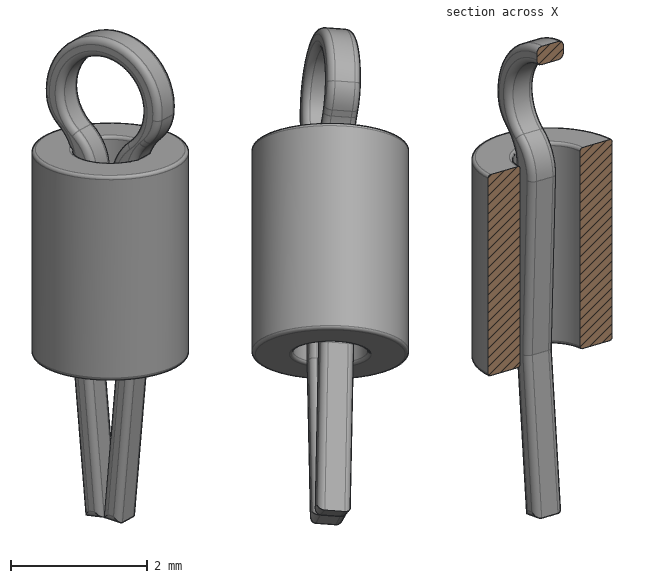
import cadquery as cq
import math

sleeve_radius = 1.15
sleeve_height = 3.2
bore_radius = 0.55
sleeve_rounding = 0.05

overall_height = 7.53
wire_thickness = 0.3
wire_width = 0.5
wire_rounding = 0.1

eye_outer_radius = 1.0
eye_inner_radius = eye_outer_radius - wire_thickness
eye_top = 5.0
eye_center = eye_top - eye_outer_radius
outer_arc_end_angle = 6.0
inner_arc_end_angle = 51.0
shoulder_radius = 0.645
neck_angle = 45.0
neck_length = 0.1

leg_outer_x = 0.535
leg_inner_x = leg_outer_x - wire_thickness
neck_inner_x = 0.13
leg_lean = 5.15
tip_bottom = eye_top - overall_height


def polar(center, radius, degrees_below):
    """Point on the right side of a circle, at an angle measured downward from +X."""
    angle = math.radians(degrees_below)
    return (center[0] + radius * math.cos(angle), center[1] - radius * math.sin(angle))


def make_sleeve():
    body = cq.Workplane("XY").circle(sleeve_radius).circle(bore_radius).extrude(sleeve_height)
    return body.faces("<Z or >Z").edges().fillet(sleeve_rounding)


def bend_into_vertical(start, start_angle, vertical_x):
    """Middle and end of an arc that turns from a slope into the line x = vertical_x."""
    slope = math.radians(start_angle)
    radius = (start[0] - vertical_x) / (1 - math.cos(slope))
    center = (vertical_x + radius, start[1] - radius * math.sin(slope))
    middle = (center[0] - radius * math.cos(slope / 2), center[1] + radius * math.sin(slope / 2))
    return middle, (vertical_x, center[1])


def make_pin():
    """Bent wire: the right half of its outline is drawn, then mirrored about X = 0."""
    eye = (0, eye_center)
    lean = math.radians(leg_lean)

    shoulder_start = polar(eye, eye_outer_radius, outer_arc_end_angle)
    shoulder_center = polar(eye, eye_outer_radius - shoulder_radius, outer_arc_end_angle)
    shoulder_middle = polar(
        shoulder_center, shoulder_radius, (outer_arc_end_angle + neck_angle) / 2
    )
    shoulder_end = polar(shoulder_center, shoulder_radius, neck_angle)
    neck_end = (
        shoulder_end[0] - neck_length * math.sin(math.radians(neck_angle)),
        shoulder_end[1] - neck_length * math.cos(math.radians(neck_angle)),
    )
    outer_neck = bend_into_vertical(neck_end, neck_angle, leg_outer_x)

    inner_arc_end = polar(eye, eye_inner_radius, inner_arc_end_angle)
    inner_neck = bend_into_vertical(inner_arc_end, inner_arc_end_angle, neck_inner_x)

    tip_outer = (leg_outer_x + tip_bottom * math.tan(lean), tip_bottom)
    tip_inner = (
        tip_outer[0] - wire_thickness * math.cos(lean),
        tip_outer[1] + wire_thickness * math.sin(lean),
    )
    knee_inner = (leg_inner_x, tip_inner[1] + (leg_inner_x - tip_inner[0]) / math.tan(lean))

    def mirrored(point):
        return (-point[0], point[1])

    outline = (
        cq.Workplane("XZ", origin=(0, wire_width / 2, 0))
        .moveTo(*mirrored(shoulder_start))
        .threePointArc((0, eye_top), shoulder_start)
        .threePointArc(shoulder_middle, shoulder_end)
        .lineTo(*neck_end)
        .threePointArc(*outer_neck)
        .lineTo(leg_outer_x, 0)
        .lineTo(*tip_outer)
        .lineTo(*tip_inner)
        .lineTo(*knee_inner)
        .lineTo(*inner_neck[1])
        .threePointArc(inner_neck[0], inner_arc_end)
        .threePointArc((0, eye_top - wire_thickness), mirrored(inner_arc_end))
        .threePointArc(mirrored(inner_neck[0]), mirrored(inner_neck[1]))
        .lineTo(*mirrored(knee_inner))
        .lineTo(*mirrored(tip_inner))
        .lineTo(*mirrored(tip_outer))
        .lineTo(-leg_outer_x, 0)
        .lineTo(*mirrored(outer_neck[1]))
        .threePointArc(mirrored(outer_neck[0]), mirrored(neck_end))
        .lineTo(*mirrored(shoulder_end))
        .threePointArc(mirrored(shoulder_middle), mirrored(shoulder_start))
        .close()
    )
    return outline.extrude(wire_width).faces("<Y or >Y").edges().fillet(wire_rounding)


result = make_sleeve().union(make_pin())